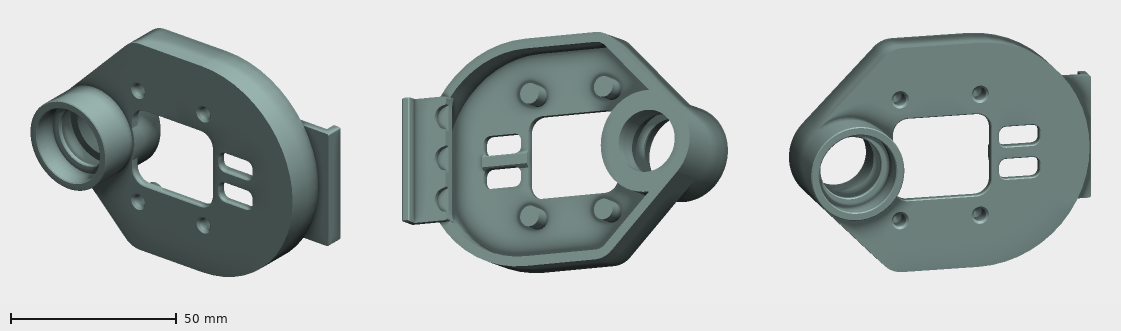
import cadquery as cq
import math

housing_height = 69.8
housing_depth = 12.5
front_wall = 2.6
side_wall = 3.0
round_radius = housing_height / 2
round_center_x = 55.8
corner_radius = 7.8
front_y = -housing_depth
inner_front_y = front_y + front_wall

tube_diameter = 29.2
tube_radius = tube_diameter / 2
tube_projection = 13.0
bore_diameter = 19.0
seat_diameter = 24.1
seat_depth = 7.9
rear_seat_depth = 7.5
lip_length = 1.2
collar_radius = 15.6
tube_front_y = front_y - tube_projection
lip_front_y = tube_front_y + seat_depth
lip_back_y = lip_front_y + lip_length
rear_seat_end_y = lip_back_y + rear_seat_depth
tube_chamfer = 0.3

window_left = 29.2
window_width = 30.7
window_height = 25.4
window_corner = 4.7
slot_center_x = 68.8
slot_center_z = 5.0
slot_length = 12.7
slot_width = 6.2
slot_corner = 2.3
opening_chamfer = 0.3

rib_width = 5.3
rib_height = 1.1

post_diameter = 6.3
post_length = 8.5
screw_diameter = 4.1
screw_depth = 5.7
screw_chamfer = 0.7
drill_tip_angle = 118.0
screw_columns = (31.4, 56.5)
screw_row_z = 18.8

part_right = 94.6
bracket_height = 38.0
bracket_thickness = 2.6
bracket_corner = 0.6
bracket_edge_x = 81.65
flare_radius = 10.0
flare_start_z = 15.7
shelf_depth = 1.8
flange_thickness = 2.6
flange_height = 6.3
flange_chamfer = 0.4
notch_radius = 3.7
notch_pitch = 12.7
notch_depth = 2.0
notch_mouth_fillet = 0.6


def front_plane(y):
    """Sketch plane at the given Y: local x is X, local y is Z, extrusion goes toward -Y."""
    return cq.Workplane("XZ", origin=(0, y, 0))


def cylinder(x, z, diameter, back_y, end_y):
    """Round bar along Y from back_y to end_y."""
    return front_plane(back_y).center(x, z).circle(diameter / 2).extrude(back_y - end_y)


def housing_outline(inset, back_y, end_y):
    """Housing outline offset inward: round nose, 45 degree flanks, round right end."""
    nose = tube_radius - inset
    half_height = round_radius - inset
    corner = corner_radius - inset
    diagonal = math.sqrt(0.5)
    nose_x = tube_radius - nose * diagonal
    nose_z = nose * diagonal
    peak_x = nose_x + half_height - nose_z
    corner_x = peak_x + corner * math.tan(math.radians(22.5))
    corner_z = half_height - corner
    flank_x = corner_x - corner * diagonal
    flank_z = corner_z + corner * diagonal
    middle_x = corner_x - corner * math.sin(math.radians(22.5))
    middle_z = corner_z + corner * math.cos(math.radians(22.5))
    return (
        front_plane(back_y)
        .moveTo(nose_x, nose_z)
        .lineTo(flank_x, flank_z)
        .threePointArc((middle_x, middle_z), (corner_x, half_height))
        .lineTo(round_center_x, half_height)
        .threePointArc((round_center_x + half_height, 0), (round_center_x, -half_height))
        .lineTo(corner_x, -half_height)
        .threePointArc((middle_x, -middle_z), (flank_x, -flank_z))
        .lineTo(nose_x, -nose_z)
        .threePointArc((tube_radius - nose, 0), (nose_x, nose_z))
        .close()
        .extrude(back_y - end_y)
    )


def bracket_outline(back_y, end_y):
    """Bracket seen along Y; its left edge is straight and flares outward near both ends."""
    half_height = bracket_height / 2
    flare_angle = math.asin((half_height - flare_start_z) / flare_radius)

    def flare_point(angle):
        x = bracket_edge_x - flare_radius * (1 - math.cos(angle))
        return x, flare_start_z + flare_radius * math.sin(angle)

    tip_x = flare_point(flare_angle)[0]
    mid_x, mid_z = flare_point(flare_angle / 2)
    return (
        front_plane(back_y)
        .moveTo(bracket_edge_x, -flare_start_z)
        .lineTo(bracket_edge_x, flare_start_z)
        .threePointArc((mid_x, mid_z), (tip_x, half_height))
        .lineTo(part_right, half_height)
        .lineTo(part_right, -half_height)
        .lineTo(tip_x, -half_height)
        .threePointArc((mid_x, -mid_z), (bracket_edge_x, -flare_start_z))
        .close()
        .extrude(back_y - end_y)
    )


def make_bracket():
    """Bracket plate with its end flange and the row of round notches."""
    body = bracket_outline(flange_height, 0)
    body = body.edges("|Y and (<X or >X)").fillet(bracket_corner)
    flange_left = part_right - flange_thickness
    above_plate = cq.Workplane("XY").box(
        flange_left, flange_height, bracket_height, centered=(False, False, True)
    )
    body = body.cut(above_plate.translate((0, bracket_thickness, 0)))
    body = body.faces(">Y").edges().chamfer(flange_chamfer)
    for row in (-1, 0, 1):
        notch = cylinder(
            bracket_edge_x,
            row * notch_pitch,
            2 * notch_radius,
            bracket_thickness,
            bracket_thickness - notch_depth,
        )
        body = body.cut(notch)
    mouth_half_height = bracket_height / 2 - 2 * bracket_corner
    mouth = cq.selectors.BoxSelector(
        (bracket_edge_x - notch_mouth_fillet, 0, -mouth_half_height),
        (bracket_edge_x + notch_mouth_fillet, bracket_thickness, mouth_half_height),
    )
    return body.edges("|Y").edges(mouth).fillet(notch_mouth_fillet)


def make_opening(x, z, length, width, corner):
    """Rounded opening through the front wall and the rib."""
    blank = front_plane(0).center(x, z).rect(length, width)
    return blank.extrude(housing_depth).edges("|Y").fillet(corner)


def make_rib():
    """Rib with 45 degree sides, running from the window to the right end of the slots."""
    start_x = window_left + window_width
    end_x = slot_center_x + slot_length / 2
    crest_half_width = rib_width / 2 - rib_height
    return (
        cq.Workplane("YZ", origin=(start_x, 0, 0))
        .moveTo(inner_front_y, -rib_width / 2)
        .lineTo(inner_front_y + rib_height, -crest_half_width)
        .lineTo(inner_front_y + rib_height, crest_half_width)
        .lineTo(inner_front_y, rib_width / 2)
        .close()
        .extrude(end_x - start_x)
    )


def make_screw_hole(x, z):
    """Blind drilled hole with a conical tip and a chamfered mouth."""
    radius = screw_diameter / 2
    tip_depth = screw_depth + radius / math.tan(math.radians(drill_tip_angle / 2))
    profile = [
        (0, 0),
        (radius + screw_chamfer, 0),
        (radius, screw_chamfer),
        (radius, screw_depth),
        (0, tip_depth),
    ]
    hole = cq.Workplane("XY").polyline(profile).close().revolve(360, (0, 0), (0, 1))
    return hole.translate((x, front_y, z))


def make_front_wall():
    """Front wall with its rib, window and slots; the openings are chamfered at the front."""
    wall = housing_outline(0, inner_front_y, front_y).union(make_rib())
    window_center_x = window_left + window_width / 2
    window = make_opening(window_center_x, 0, window_width, window_height, window_corner)
    wall = wall.cut(window.cut(cylinder(tube_radius, 0, 2 * collar_radius, 0, front_y)))
    for side in (-1, 1):
        slot_z = side * slot_center_z
        wall = wall.cut(make_opening(slot_center_x, slot_z, slot_length, slot_width, slot_corner))
    rims = wall.faces("<Y").val().innerWires()
    rim_edges = [edge for rim in rims for edge in rim.Edges()]
    return wall.newObject(rim_edges).chamfer(opening_chamfer)


def make_side_walls():
    """Closed side wall and a solid collar for the bearing tube, both open to the back."""
    walls = housing_outline(0, 0, inner_front_y).cut(housing_outline(side_wall, 0, inner_front_y))
    collar = cylinder(tube_radius, 0, 2 * collar_radius, 0, inner_front_y)
    return walls.union(collar.intersect(housing_outline(0, 0, front_y)))


def make_shelf():
    """Shelf under the bracket that closes the right end of the cavity mouth."""
    return bracket_outline(0, -shelf_depth).intersect(housing_outline(0, 0, front_y))


def make_tube():
    """Projecting tube with a chamfered rim."""
    tube = cylinder(tube_radius, 0, tube_diameter, 0, tube_front_y)
    return tube.faces("<Y").chamfer(tube_chamfer)


def make_tube_bore():
    """Through bore with a front and a rear bearing seat either side of the lip."""
    bore = cylinder(tube_radius, 0, bore_diameter, 0, tube_front_y)
    front_seat = cylinder(tube_radius, 0, seat_diameter, lip_front_y, tube_front_y)
    rear_seat = cylinder(tube_radius, 0, seat_diameter, rear_seat_end_y, lip_back_y)
    return bore.union(front_seat).union(rear_seat)


def make_chamfer_ring(diameter, y):
    """Cone that breaks the front edge of a bore of the given diameter at the given Y."""
    rim = front_plane(y).center(tube_radius, 0).circle(diameter / 2 + tube_chamfer)
    return rim.workplane(offset=-tube_chamfer).circle(diameter / 2).loft()


result = make_front_wall().union(make_side_walls()).union(make_tube()).cut(make_tube_bore())
result = result.cut(make_chamfer_ring(seat_diameter, tube_front_y))
result = result.cut(make_chamfer_ring(bore_diameter, lip_front_y))

for column_x in screw_columns:
    for row_z in (-screw_row_z, screw_row_z):
        post = cylinder(column_x, row_z, post_diameter, front_y + post_length, front_y)
        result = result.union(post).cut(make_screw_hole(column_x, row_z))

result = result.union(make_shelf()).union(make_bracket())